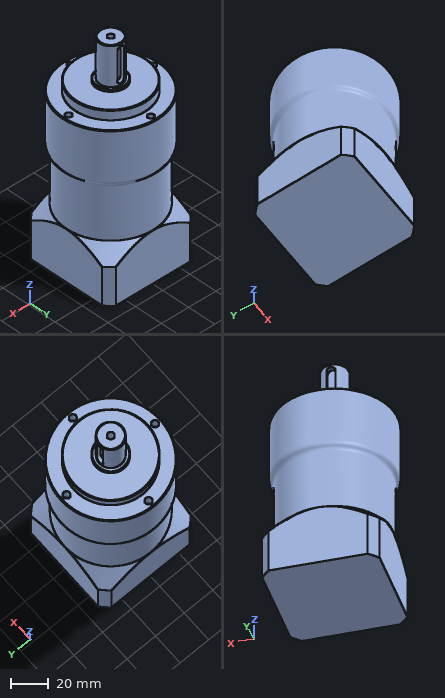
import cadquery as cq
import math

total_height = 149.5
collar_top = 121.2
pilot_top = 119.9
flange_top = 113.0
neck_top = 78.2
body_top = 73.1
base_top = 36.5

flange_radius = 70.0 / 2
body_radius = 65.0 / 2
pilot_radius = 52.0 / 2
collar_radius = 20.6 / 2
shaft_radius = 16.0 / 2
edge_chamfer = 0.5

base_width = 2 * body_radius
base_corner_radius = 42.5

hole_diameter = 4.2
bolt_circle_radius = 31.0
bolt_count = 4
bolt_hole_depth = 10.0
shaft_hole_depth = 12.5
drill_point_angle = math.radians(118)

keyway_width = 5.0
keyway_length = 25.0
keyway_depth = 3.0
keyway_end_gap = 2.1


def cylinder(radius, bottom, top):
    return cq.Workplane("XY").workplane(offset=bottom).circle(radius).extrude(top - bottom)


def chamfered_cylinder(radius, bottom, top, chamfer):
    return cylinder(radius, bottom, top).faces(">Z").chamfer(chamfer)


def make_base():
    """Square block with cylindrical corners and a 45 degree conical top."""
    block = cq.Workplane("XY").rect(base_width, base_width).extrude(base_top)
    cone_drop = base_corner_radius - body_radius
    envelope = chamfered_cylinder(base_corner_radius, 0, base_top, cone_drop)
    return block.intersect(envelope)


def make_neck():
    """Revolved S-curve of two equal arcs, tangent to the flange and body walls."""
    step = flange_radius - body_radius
    height = neck_top - body_top
    arc_radius = (step**2 + height**2) / (4 * step)
    middle = ((flange_radius + body_radius) / 2, (neck_top + body_top) / 2)
    return (
        cq.Workplane("XZ")
        .moveTo(0, neck_top)
        .lineTo(flange_radius, neck_top)
        .radiusArc(middle, arc_radius)
        .radiusArc((body_radius, body_top), -arc_radius)
        .lineTo(0, body_top)
        .close()
        .revolve(360, (0, 0), (0, 1))
    )


def make_drill(x, y, top, depth):
    """Drill shape: full-diameter depth followed by a conical point."""
    radius = hole_diameter / 2
    point_height = radius / math.tan(drill_point_angle / 2)
    return (
        cq.Workplane("XZ")
        .polyline([(0, 0), (radius, 0), (radius, -depth), (0, -depth - point_height)])
        .close()
        .revolve(360, (0, 0), (0, 1))
        .translate((x, y, top))
    )


def make_keyway():
    center_height = total_height - keyway_end_gap - keyway_length / 2
    return (
        cq.Workplane("XZ", origin=(0, shaft_radius - keyway_depth, center_height))
        .slot2D(keyway_length, keyway_width, 90)
        .extrude(-shaft_radius)
    )


result = (
    make_base()
    .union(cylinder(body_radius, base_top, body_top))
    .union(make_neck())
    .union(chamfered_cylinder(flange_radius, neck_top, flange_top, edge_chamfer))
    .union(chamfered_cylinder(pilot_radius, flange_top, pilot_top, edge_chamfer))
    .union(chamfered_cylinder(collar_radius, pilot_top, collar_top, edge_chamfer))
    .union(chamfered_cylinder(shaft_radius, collar_top, total_height, edge_chamfer))
)

for index in range(bolt_count):
    angle = 2 * math.pi * index / bolt_count
    x = bolt_circle_radius * math.cos(angle)
    y = bolt_circle_radius * math.sin(angle)
    result = result.cut(make_drill(x, y, flange_top, bolt_hole_depth))

result = result.cut(make_drill(0, 0, total_height, shaft_hole_depth))
result = result.cut(make_keyway())